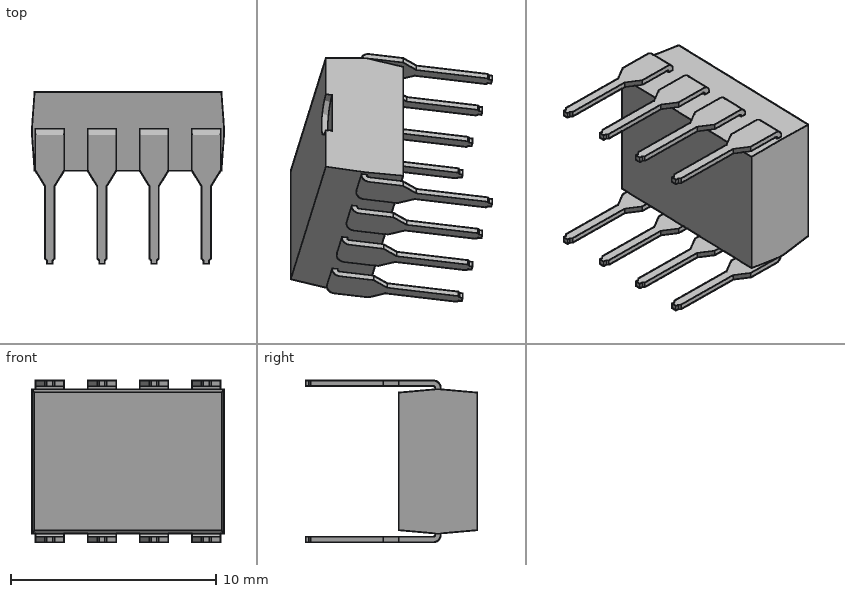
import cadquery as cq
import math


lead_count_per_row = 4
lead_pitch = 2.54
lead_thickness = 0.28
rows_outer_span = 7.9
bend_inner_radius = 0.09
bend_outer_radius = bend_inner_radius + lead_thickness
shoulder_width = 1.4
leg_width = 0.47
tip_width = 0.28
shoulder_taper_length = 0.75
tip_length = 0.16
tip_taper_length = 0.09
lead_drop = 4.53

band_length = 9.38
band_width = 7.035
band_height = lead_thickness
housing_height = 3.85
draft_inset_x = 0.13
draft_inset_z = 0.16
notch_radius = 1.11
notch_depth = 0.31

front_y = -housing_height / 2
back_y = housing_height / 2
half_band = band_height / 2
lead_tip_y = front_y - lead_drop
lead_outer_z = rows_outer_span / 2
lead_inner_z = lead_outer_z - lead_thickness
lead_root_z = band_width / 2


def tapered_half(side):
    """Drafted block from the band to the front (side = -1) or back (side = 1) face."""
    taper_height = back_y - half_band
    return (
        cq.Workplane(cq.Plane((0, side * half_band, 0), xDir=(1, 0, 0), normal=(0, side, 0)))
        .rect(band_length, band_width)
        .workplane(offset=taper_height)
        .rect(band_length - 2 * draft_inset_x, band_width - 2 * draft_inset_z)
        .loft(ruled=True)
    )


def make_housing():
    """Straight middle band, two drafted halves and a half-round end notch in the back face."""
    band = cq.Workplane("XY").box(band_length, band_height, band_width)
    housing = band.union(tapered_half(-1)).union(tapered_half(1))

    notch_center_x = -(band_length / 2 - draft_inset_x)
    notch = (
        cq.Workplane(cq.Plane((notch_center_x, back_y, 0), xDir=(1, 0, 0), normal=(0, -1, 0)))
        .circle(notch_radius)
        .extrude(notch_depth)
    )
    return housing.cut(notch)


def make_lead():
    """Bent lead of the +Z row, centred on X = 0, with its root against the housing's band."""
    bend_y = half_band - bend_outer_radius
    bend_z = lead_outer_z - bend_outer_radius
    diagonal = math.cos(math.radians(45))
    outer_arc_mid = (bend_y + bend_outer_radius * diagonal, bend_z + bend_outer_radius * diagonal)
    inner_arc_mid = (bend_y + bend_inner_radius * diagonal, bend_z + bend_inner_radius * diagonal)
    bent_strip = (
        cq.Workplane("YZ")
        .moveTo(half_band, lead_root_z)
        .lineTo(half_band, bend_z)
        .threePointArc(outer_arc_mid, (bend_y, lead_outer_z))
        .lineTo(lead_tip_y, lead_outer_z)
        .lineTo(lead_tip_y, lead_inner_z)
        .lineTo(bend_y, lead_inner_z)
        .threePointArc(inner_arc_mid, (-half_band, bend_z))
        .lineTo(-half_band, lead_root_z)
        .close()
        .extrude(shoulder_width / 2, both=True)
    )

    leg_start_y = front_y - shoulder_taper_length
    tip_start_y = lead_tip_y + tip_length
    leg_end_y = tip_start_y + tip_taper_length
    right_edge = [
        (shoulder_width / 2, half_band),
        (shoulder_width / 2, front_y),
        (leg_width / 2, leg_start_y),
        (leg_width / 2, leg_end_y),
        (tip_width / 2, tip_start_y),
        (tip_width / 2, lead_tip_y),
    ]
    left_edge = [(-x, y) for x, y in reversed(right_edge)]
    outline = cq.Workplane("XY").polyline(right_edge + left_edge).close().extrude(lead_outer_z)
    return bent_strip.intersect(outline)


def make_leads():
    """Two facing rows of leads, each lead a separate solid."""
    upper_lead = make_lead()
    lower_lead = upper_lead.mirror("XY")
    first_x = -lead_pitch * (lead_count_per_row - 1) / 2
    leads = []
    for index in range(lead_count_per_row):
        x = first_x + index * lead_pitch
        leads.append(upper_lead.translate((x, 0, 0)).val())
        leads.append(lower_lead.translate((x, 0, 0)).val())
    return leads


housing = make_housing()
leads = make_leads()

result = cq.Compound.makeCompound([housing.val(), *leads])